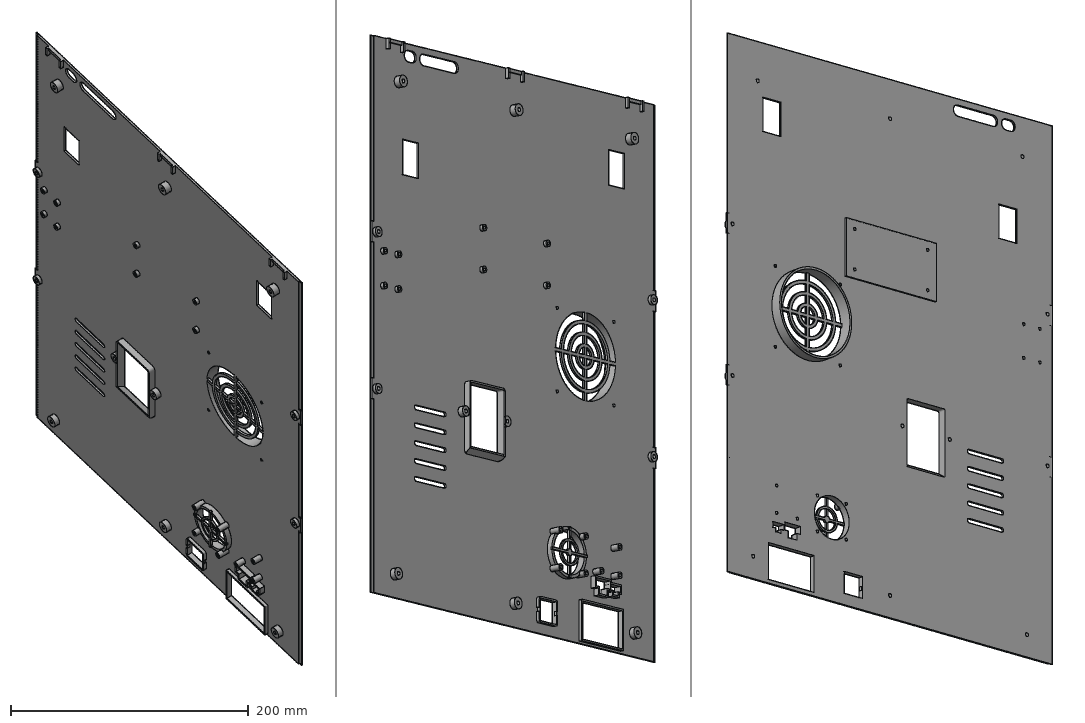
import cadquery as cq


panel_width = 361.0
panel_height = 480.0
panel_thickness = 2.0
edge_strip_width = 3.0
edge_strip_step = 1.0
cutter_reach = 50.0

screw_hole_diameter = 2.5
boss_hole_diameter = 3.2
post_diameter = 5.5

main_boss_diameter = 10.0
top_boss_height = 6.0
top_boss_spacing = 147.0
top_boss_z = 205.0
bottom_boss_height = 5.0
bottom_boss_spacing = 152.0
bottom_boss_z = -220.0

side_boss_diameter = 8.5
side_boss_height = 3.0
side_boss_x = 175.0
side_boss_levels = (71.0, -64.2)
side_boss_land = 18.0

low_post_height = 3.0
left_board_center = (-157.5, 41.0)
left_board_pitch = (18.0, 30.0)
middle_board_center = (0.0, 79.0)
middle_board_pitch = (81.0, 36.0)
back_pad_size = (100.0, 52.0)
back_pad_thickness = 1.5
connector_post_height = 8.0
connector_posts = ((103.0, -175.3), (126.0, -175.3), (126.0, -151.0))

clip_positions = (-152.0, 0.0, 152.0)
clip_width = 20.5
clip_length = 9.0
clip_height = 3.0
clip_bar_height = 1.5
clip_bar = 3.0
clip_leg = 2.0

window_size = (20.0, 30.5)
window_centers = ((-131.0, 141.5), (131.0, 176.5))
cable_slot_width = 10.0
cable_slot_z = 229.5
short_cable_slot = (-131.5, 15.0)
long_cable_slot = (-95.0, 49.0)
vent_slot_length = 40.0
vent_slot_width = 4.0
vent_slot_x = -106.0
vent_slot_top_z = -71.5
vent_slot_pitch = 15.4
vent_slot_count = 5

large_fan_center = (91.3, 8.4)
duct_outer_diameter = 80.0
duct_inner_diameter = 76.0
duct_length = 10.0
large_fan_rib = 3.0
large_fan_gap = 7.0
large_fan_hole_pitch = 72.0

small_fan_center = (64.7, -165.5)
collar_outer_diameter = 44.0
collar_inner_diameter = 38.5
collar_height = 5.0
raised_grille_height = 6.0
raised_grille_thickness = 2.0
small_fan_rib = 2.0
small_fan_openings = ((collar_inner_diameter / 2, 11.5), (9.5, 3.0))
small_fan_post_pitch = 32.0
small_fan_post_height = 10.0

socket_center_x = -40.0
socket_width = 45.0
socket_top_z = -38.5
socket_lip_z = -97.0
socket_base_z = -101.0
socket_wall = 1.5
socket_frame_height = 6.0
socket_corner_radius = 3.0
socket_boss_offset = 26.3
socket_boss_z = -65.7
socket_boss_diameter = 9.0
socket_boss_height = 5.0

frame_wall = 1.5
low_frame_height = 3.0
switch_center = (40.7, -220.0)
switch_outer_size = (23.5, 22.5)
switch_corner_radius = 2.5
switch_notch_height = 3.5
switch_notch_depth = 1.0
inlet_center = (109.6, -220.3)
inlet_outer_size = (53.5, 35.8)
inlet_corner_radius = 1.0

connector_frame_height = 5.0
connector_wall = 1.5
large_connector = (99.5, 117.0, -181.5, -188.5, -194.5, 4.0)
small_connector = (118.0, 130.0, -184.0, -189.0, -192.5, 3.0)


def at(x, z, y=0.0):
    """Workplane facing -Y (positive extrusion goes to the front)."""
    return cq.Workplane("XZ", origin=(x, y, z))


def through(sketch):
    """Extrude a cutter through everything in both directions."""
    return sketch.extrude(cutter_reach, both=True)


def box(center, size, height):
    return at(*center).rect(*size).extrude(height)


def grid(center, pitch):
    x, z = center
    dx, dz = pitch[0] / 2, pitch[1] / 2
    return [(x + i * dx, z + k * dz) for i in (-1, 1) for k in (-1, 1)]


def make_panel():
    panel = box((0, 0), (panel_width, panel_height), -panel_thickness)
    for side in (-1, 1):
        strip_x = side * (panel_width - edge_strip_width) / 2
        strip = box((strip_x, 0), (edge_strip_width, panel_height), -edge_strip_step)
        for z in side_boss_levels:
            strip = strip.cut(box((strip_x, z), (edge_strip_width, side_boss_land), -edge_strip_step))
        panel = panel.cut(strip)
    return panel


def add_boss(body, center, diameter, height, hole_diameter=boss_hole_diameter):
    """Round boss on the front face with a screw hole through boss and panel."""
    body = body.union(at(*center).circle(diameter / 2).extrude(height))
    return body.cut(through(at(*center).circle(hole_diameter / 2)))


def add_post(body, center, height):
    return add_boss(body, center, post_diameter, height, screw_hole_diameter)


def add_bosses(body):
    for side in (-1, 0, 1):
        body = add_boss(body, (side * top_boss_spacing, top_boss_z), main_boss_diameter, top_boss_height)
        bottom = (side * bottom_boss_spacing, bottom_boss_z)
        body = add_boss(body, bottom, main_boss_diameter, bottom_boss_height)
    for side in (-1, 1):
        for z in side_boss_levels:
            body = add_boss(body, (side * side_boss_x, z), side_boss_diameter, side_boss_height)
    return body


def add_board_posts(body):
    pad = box(middle_board_center, back_pad_size, -panel_thickness - back_pad_thickness)
    body = body.union(pad)
    for center in grid(left_board_center, left_board_pitch) + grid(middle_board_center, middle_board_pitch):
        body = add_post(body, center, low_post_height)
    for center in connector_posts:
        body = add_post(body, center, connector_post_height)
    return body


def add_clips(body):
    leg_z = (panel_height - clip_length) / 2
    leg_offset = (clip_width - clip_leg) / 2
    bar_z = (panel_height - clip_bar) / 2
    for x in clip_positions:
        body = body.union(box((x, bar_z), (clip_width, clip_bar), clip_bar_height))
        for side in (-1, 1):
            body = body.union(box((x + side * leg_offset, leg_z), (clip_leg, clip_length), clip_height))
    return body


def cut_plain_openings(body):
    for center in window_centers:
        body = body.cut(through(at(*center).rect(*window_size)))
    for x, length in (short_cable_slot, long_cable_slot):
        body = body.cut(through(at(x, cable_slot_z).slot2D(length, cable_slot_width)))
    for i in range(vent_slot_count):
        z = vent_slot_top_z - i * vent_slot_pitch
        body = body.cut(through(at(vent_slot_x, z).slot2D(vent_slot_length, vent_slot_width)))
    return body


def cross(center, span, width):
    return [at(*center).rect(span, width), at(*center).rect(width, span)]


def grille_cutter(center, openings, rib):
    """Ring openings (outer radius, inner radius), leaving a cross of ribs."""
    cutter = cq.Workplane("XZ")
    for outer, inner in openings:
        ring = at(*center).circle(outer)
        if inner > 0:
            ring = ring.circle(inner)
        cutter = cutter.add(through(ring))
    cutter = cutter.combine()
    largest_diameter = 2 * openings[0][0]
    for bar in cross(center, largest_diameter, rib):
        cutter = cutter.cut(through(bar))
    return cutter


def add_large_fan(body):
    openings = []
    outer = duct_inner_diameter / 2
    while outer > 0:
        openings.append((outer, max(outer - large_fan_gap, 0)))
        outer -= large_fan_gap + large_fan_rib
    body = body.cut(grille_cutter(large_fan_center, openings, large_fan_rib))
    x, z = large_fan_center
    duct = at(x, z, panel_thickness).circle(duct_outer_diameter / 2).circle(duct_inner_diameter / 2)
    body = body.union(duct.extrude(-duct_length))
    for center in grid(large_fan_center, (large_fan_hole_pitch, large_fan_hole_pitch)):
        body = body.cut(through(at(*center).circle(screw_hole_diameter / 2)))
    return body


def add_small_fan(body):
    x, z = small_fan_center
    collar = at(x, z).circle(collar_outer_diameter / 2).extrude(collar_height)
    opening = through(at(x, z).circle(collar_inner_diameter / 2))
    body = body.union(collar).cut(opening)
    grille_back = raised_grille_thickness - raised_grille_height
    grille = at(x, z, grille_back).circle(collar_inner_diameter / 2).extrude(raised_grille_thickness)
    body = body.union(grille.cut(grille_cutter(small_fan_center, small_fan_openings, small_fan_rib)))
    for rib in cross(small_fan_center, collar_outer_diameter, small_fan_rib):
        body = body.union(rib.extrude(raised_grille_thickness).translate((0, grille_back, 0)))
    for center in grid(small_fan_center, (small_fan_post_pitch, small_fan_post_pitch)):
        body = add_post(body, center, small_fan_post_height)
    return body


def add_low_frame(body, center, outer_size, radius):
    frame = box(center, outer_size, low_frame_height).edges("|Y").fillet(radius)
    inner_size = [size - 2 * frame_wall for size in outer_size]
    return body.union(frame).cut(through(at(*center).rect(*inner_size)))


def add_switch_frame(body):
    body = add_low_frame(body, switch_center, switch_outer_size, switch_corner_radius)
    x, z = switch_center
    for side in (-1, 1):
        notch_x = x + side * (switch_outer_size[0] - switch_notch_depth) / 2
        notch = box((notch_x, z), (switch_notch_depth, switch_notch_height), low_frame_height)
        body = body.cut(notch)
    return body


def socket_block(inset, back_y, radius):
    """Rounded block from back_y to the frame's front, with its bottom slanted."""
    front_y = -socket_frame_height
    slope = (socket_lip_z - socket_base_z) / socket_frame_height
    top = socket_top_z - inset
    lip = socket_lip_z + inset
    bottom = lip - slope * (back_y - front_y)
    width = socket_width - 2 * inset
    side_profile = [(front_y, top), (back_y, top), (back_y, bottom), (front_y, lip)]
    slanted = cq.Workplane("YZ", origin=(socket_center_x, 0, 0)).polyline(side_profile).close()
    slanted = slanted.extrude(width / 2, both=True)
    rounded = at(socket_center_x, (top + bottom) / 2, back_y).rect(width, top - bottom)
    rounded = rounded.extrude(back_y - front_y).edges("|Y").fillet(radius)
    return slanted.intersect(rounded)


def add_power_socket(body):
    for side in (-1, 1):
        center = (socket_center_x + side * socket_boss_offset, socket_boss_z)
        body = add_boss(body, center, socket_boss_diameter, socket_boss_height)
    body = body.union(socket_block(0.0, 0.0, socket_corner_radius))
    return body.cut(socket_block(socket_wall, panel_thickness, socket_corner_radius - socket_wall))


def connector_outline(sizes):
    left, right, top, shoulder, bottom, inset = sizes
    return at(0, 0).polyline(
        [
            (left, top),
            (right, top),
            (right, shoulder),
            (right - inset, shoulder),
            (right - inset, bottom),
            (left + inset, bottom),
            (left + inset, shoulder),
            (left, shoulder),
        ]
    ).close()


def add_connectors(body):
    connectors = (large_connector, small_connector)
    for sizes in connectors:
        frame = connector_outline(sizes).offset2D(connector_wall, "intersection")
        body = body.union(frame.extrude(connector_frame_height))
    for sizes in connectors:
        body = body.cut(through(connector_outline(sizes)))
    return body


body = make_panel()
body = add_clips(body)
body = add_power_socket(body)
body = add_switch_frame(body)
body = add_low_frame(body, inlet_center, inlet_outer_size, inlet_corner_radius)
body = add_connectors(body)
body = add_large_fan(body)
body = add_small_fan(body)
body = add_board_posts(body)
body = add_bosses(body)
result = cut_plain_openings(body)